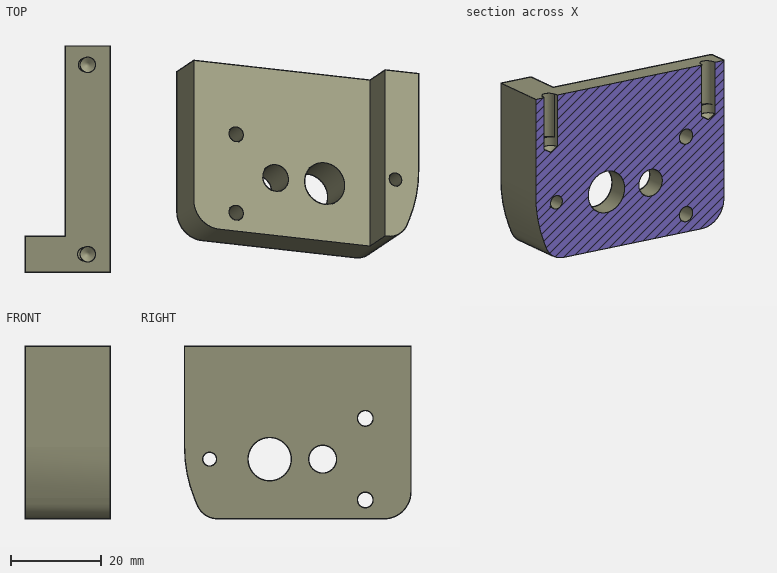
import cadquery as cq
import math

LENGTH = 50.0
HEIGHT = 38.12
PLATE_THICKNESS = 10.0
FOOT_PROJECTION = 8.85
FOOT_WIDTH = 8.0
WIDTH = PLATE_THICKNESS + FOOT_PROJECTION

BACK_CORNER_RADIUS = 6.0

NOSE_ARC_TOP = 15.8
NOSE_ARC_RADIUS = 30.0
NOSE_ARC_ANGLE = math.radians(22.0)
NOSE_CORNER_RADIUS = 5.0

CROSS_HOLE_ROW_HEIGHT = 13.2
FOOT_HOLE_DIAMETER = 3.0
FOOT_HOLE_Y = 5.55
LARGE_HOLE_DIAMETER = 9.5
LARGE_HOLE_Y = 18.8
MEDIUM_HOLE_DIAMETER = 6.1
MEDIUM_HOLE_Y = 30.5
PAIR_HOLE_DIAMETER = 3.4
PAIR_HOLE_Y = 39.9
PAIR_HOLE_SPACING = 18.0

TOP_HOLE_DIAMETER = 3.4
TOP_HOLE_DEPTH = 12.0
DRILL_POINT_ANGLE = math.radians(118.0)
SIDE_HOLE_DIAMETER = 3.0
SIDE_HOLE_DEPTH = 10.0
TOP_HOLE_X = FOOT_PROJECTION + PLATE_THICKNESS / 2
FRONT_TOP_HOLE_Y = 4.0
FRONT_SIDE_HOLE_OFFSET = 0.75
REAR_TOP_HOLE_Y = LENGTH - 4.2
REAR_SIDE_HOLE_OFFSET = 0.58

PIN_DIAMETER = 4.0
PIN_LENGTH = 10.0
PIN_X = FOOT_PROJECTION + 2.25
PIN_Y = LENGTH - 16.5


def nose_point(angle):
    """Point (Y, Z) on the large nose arc, the given angle below its top end."""
    y = NOSE_ARC_RADIUS * (1 - math.cos(angle))
    z = NOSE_ARC_TOP - NOSE_ARC_RADIUS * math.sin(angle)
    return y, z


def make_body():
    """L-shaped block: the side outline run along X, less the space behind the foot."""
    arc_end_y, arc_end_z = nose_point(NOSE_ARC_ANGLE)
    nose_tip_y = arc_end_y + arc_end_z * math.tan(NOSE_ARC_ANGLE)
    block = (
        cq.Workplane("YZ")
        .moveTo(0, HEIGHT)
        .lineTo(0, NOSE_ARC_TOP)
        .threePointArc(nose_point(NOSE_ARC_ANGLE / 2), (arc_end_y, arc_end_z))
        .lineTo(nose_tip_y, 0)
        .lineTo(LENGTH, 0)
        .lineTo(LENGTH, HEIGHT)
        .close()
        .extrude(WIDTH)
    )
    block = block.edges("|X and <Z").edges("<Y").fillet(NOSE_CORNER_RADIUS)
    block = block.edges("|X and <Z").edges(">Y").fillet(BACK_CORNER_RADIUS)
    recess = cq.Workplane("XY").box(FOOT_PROJECTION, LENGTH - FOOT_WIDTH, HEIGHT, centered=False)
    return block.cut(recess.translate((0, FOOT_WIDTH, 0)))


def cross_hole(diameter, y, z):
    """Cutter for a hole along X through the full width."""
    return cq.Workplane("YZ").center(y, z).circle(diameter / 2).extrude(WIDTH)


def cut_cross_holes(body):
    body = body.cut(cross_hole(FOOT_HOLE_DIAMETER, FOOT_HOLE_Y, CROSS_HOLE_ROW_HEIGHT))
    body = body.cut(cross_hole(LARGE_HOLE_DIAMETER, LARGE_HOLE_Y, CROSS_HOLE_ROW_HEIGHT))
    body = body.cut(cross_hole(MEDIUM_HOLE_DIAMETER, MEDIUM_HOLE_Y, CROSS_HOLE_ROW_HEIGHT))
    for side in (-1, 1):
        z = CROSS_HOLE_ROW_HEIGHT + side * PAIR_HOLE_SPACING / 2
        body = body.cut(cross_hole(PAIR_HOLE_DIAMETER, PAIR_HOLE_Y, z))
    return body


def top_cylinder(diameter, depth, x, y):
    """Vertical cylinder reaching down from the top face."""
    return cq.Workplane("XY", origin=(x, y, HEIGHT)).circle(diameter / 2).extrude(-depth)


def drilled_hole(x, y):
    """Cutter for a blind hole in the top face with a conical drill point."""
    radius = TOP_HOLE_DIAMETER / 2
    point_depth = radius / math.tan(DRILL_POINT_ANGLE / 2)
    profile = (
        cq.Workplane("XZ")
        .lineTo(radius, 0)
        .lineTo(radius, -TOP_HOLE_DEPTH)
        .lineTo(0, -TOP_HOLE_DEPTH - point_depth)
        .close()
    )
    return profile.revolve(360, (0, 0), (0, 1)).translate((x, y, HEIGHT))


def cut_top_holes(body):
    top_holes = (
        (FRONT_TOP_HOLE_Y, FRONT_SIDE_HOLE_OFFSET),
        (REAR_TOP_HOLE_Y, REAR_SIDE_HOLE_OFFSET),
    )
    for y, side_offset in top_holes:
        body = body.cut(drilled_hole(TOP_HOLE_X, y))
        side_hole = top_cylinder(SIDE_HOLE_DIAMETER, SIDE_HOLE_DEPTH, TOP_HOLE_X - side_offset, y)
        body = body.cut(side_hole)
    return body


def add_flush_pin(body):
    """Merge the pin without joining faces, so its round end stays marked on the top face."""
    pin = top_cylinder(PIN_DIAMETER, PIN_LENGTH, PIN_X, PIN_Y)
    return body.union(pin, clean=False)


result = add_flush_pin(cut_top_holes(cut_cross_holes(make_body())))